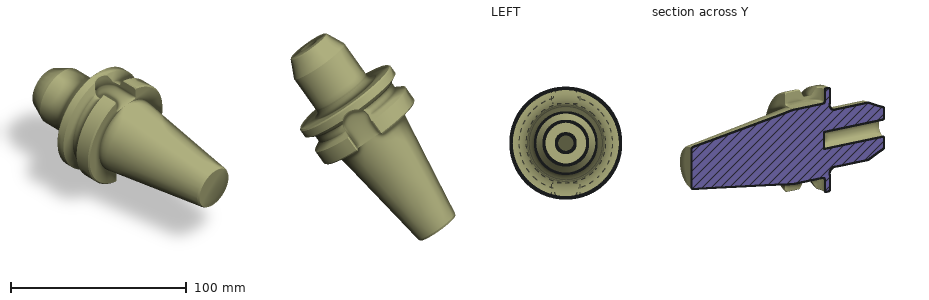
import cadquery as cq
import math

total_length = 128.4
collar_radius = 35.0 / 2
tip_radius = 12.7
tip_edge_break = 0.5
tip_cone_end = 10.7
collar_end = 31.8

relief_depth = 0.1
relief_ramp = 0.9
neck_fillet = 3.5

flange_radius = 63.0 / 2
flange_edge_break = 0.8
front_rim_end = 41.3
groove_radius = 26.6
groove_start = 44.2
groove_end = 48.5
rear_rim_start = 51.5
flange_end = 60.9

taper_slope = 7 / 48
taper_base_radius = 22.6
end_chamfer_length = 1.2
end_chamfer_height = 0.6

bore_diameter = 10.0
bore_depth = 39.8
bore_chamfer = 0.6

slot_width = 16.0
slot_arc_center = 47.8
slot_floor_height = 22.6
slot_floor_fillet = 1.0
slot_edge_chamfer = 0.6
cut_overrun = 1.3
position_tolerance = 0.01


def turned_body():
    """Solid of revolution about the X axis."""
    neck_start = collar_end + relief_ramp
    neck_radius = collar_radius - relief_depth
    fillet_center_radius = neck_radius + neck_fillet
    neck_end = neck_start + neck_fillet
    flange_start = neck_end - relief_depth
    fillet_middle = (
        neck_start + neck_fillet * math.sin(math.pi / 4),
        fillet_center_radius - neck_fillet * math.cos(math.pi / 4),
    )
    chamfer_start = total_length - end_chamfer_length
    taper_end_radius = taper_base_radius - taper_slope * (chamfer_start - flange_end)
    profile = (
        cq.Workplane("XY")
        .lineTo(0, tip_radius - tip_edge_break)
        .lineTo(tip_edge_break, tip_radius)
        .lineTo(tip_cone_end, collar_radius)
        .lineTo(collar_end, collar_radius)
        .lineTo(neck_start, neck_radius)
        .threePointArc(fillet_middle, (neck_end, fillet_center_radius))
        .lineTo(flange_start, fillet_center_radius + relief_ramp)
        .lineTo(flange_start, flange_radius - flange_edge_break)
        .lineTo(flange_start + flange_edge_break, flange_radius)
        .lineTo(front_rim_end, flange_radius)
        .lineTo(groove_start, groove_radius)
        .lineTo(groove_end, groove_radius)
        .lineTo(rear_rim_start, flange_radius)
        .lineTo(flange_end - flange_edge_break, flange_radius)
        .lineTo(flange_end, flange_radius - flange_edge_break)
        .lineTo(flange_end, taper_base_radius)
        .lineTo(chamfer_start, taper_end_radius)
        .lineTo(total_length, taper_end_radius - end_chamfer_height)
        .lineTo(total_length, 0)
        .close()
    )
    return profile.revolve(360, (0, 0, 0), (1, 0, 0))


def tool_bore():
    """Blind bore from the nose face, with a chamfered mouth."""
    bore_radius = bore_diameter / 2
    return (
        cq.Workplane("XY")
        .lineTo(0, bore_radius + bore_chamfer)
        .lineTo(bore_chamfer, bore_radius)
        .lineTo(bore_depth, bore_radius)
        .lineTo(bore_depth, 0)
        .close()
        .revolve(360, (0, 0, 0), (1, 0, 0))
    )


def drive_slot():
    """Round-nosed cutter for the upper slot, open at the rear flange face."""
    half_width = slot_width / 2
    return (
        cq.Workplane("XY", origin=(0, 0, slot_floor_height))
        .moveTo(flange_end, -half_width)
        .lineTo(slot_arc_center, -half_width)
        .threePointArc((slot_arc_center - half_width, 0), (slot_arc_center, half_width))
        .lineTo(flange_end, half_width)
        .close()
        .extrude(flange_radius - slot_floor_height + cut_overrun)
        .edges("<Z")
        .edges("not(>X)")
        .fillet(slot_floor_fillet)
    )


def is_slot_rim(edge):
    """Tell whether an edge joins a slot wall to the outer cylinder of the flange."""
    center = edge.Center()
    on_rim = abs(math.hypot(center.y, center.z) - flange_radius) < slot_edge_chamfer
    return on_rim and abs(center.y) < slot_width / 2 + position_tolerance


def chamfer_slot_rims(body):
    """Chamfer the slot edges that lie on the flange outer cylinder."""
    rims = [edge for edge in body.edges("not(#X)").vals() if is_slot_rim(edge)]
    return body.newObject(rims).chamfer(slot_edge_chamfer)


upper_slot = drive_slot()
lower_slot = upper_slot.rotate((0, 0, 0), (1, 0, 0), 180)
slotted_body = turned_body().cut(tool_bore()).cut(upper_slot).cut(lower_slot)
result = chamfer_slot_rims(slotted_body)